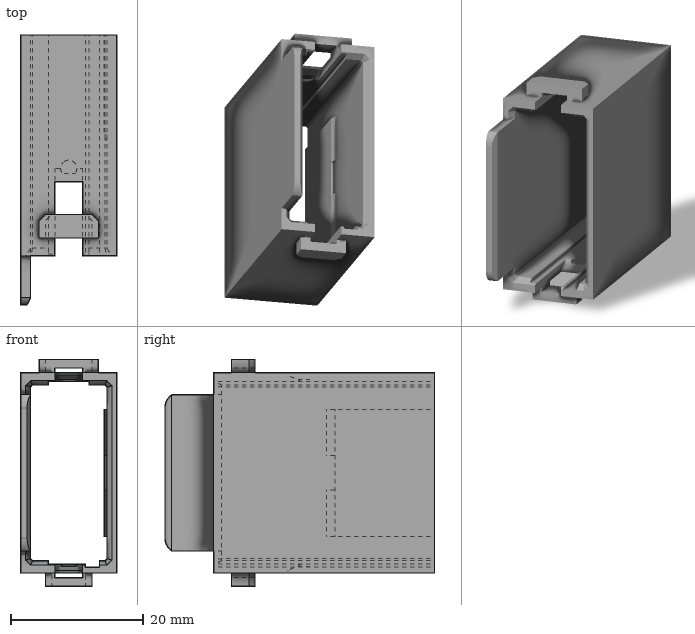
import cadquery as cq

width = 14.6
height = 30.4
total_length = 40.85
tab_length = 7.4
mouth_y = tab_length
center_x = width / 2

side_wall = 1.5
end_wall = 1.9
mouth_side_wall = 0.78
mouth_end_wall = 1.23
mouth_depth = 1.2
cavity_corner = 0.3
mouth_corner = 0.78

channel_left = 4.2
ceiling_channel_width = width - 2 * channel_left
floor_channel_width = 5.6
channel_wall = 1.4
deep_channel_left = channel_left + floor_channel_width
deep_channel_width = 2.12
deep_channel_wall = 0.95

rib_height = 19.25
rib_thickness = 0.4
rib_front_y = 24.5
rib_ramp = 1.23
rib_notch_height = 5.23

slot_width = 4.15
slot_back_y = 18.63
ramp_lip = 0.4
ramp_length = 2.05
dimple_diameter = 2.45
dimple_depth = 0.35
bridge_front_y = 10.1
bridge_back_y = 13.7
bridge_height = 2.0
bridge_gap = 0.65
top_bridge_width = 9.0
bottom_bridge_width = 7.1
bridge_chamfer = 1.0

tab_height = 23.7
tab_corner_height = 2.0
tab_corner_depth = 1.1
tab_tip_thickness = 1.0
tab_bevel_length = 1.02


def box(x, y, z, dx, dy, dz):
    """Box from its minimum corner and its sizes."""
    return cq.Workplane("XY").box(dx, dy, dz, centered=False).translate((x, y, z))


def chamfered_outline(side, end, corner):
    """Chamfered rectangle inset from the sleeve outline, as X-Z points."""
    left, right = side, width - side
    low, high = end, height - end
    return [
        (left + corner, low), (right - corner, low),
        (right, low + corner), (right, high - corner),
        (right - corner, high), (left + corner, high),
        (left, high - corner), (left, low + corner),
    ]


def mirror_to_floor(body):
    return body.mirror("XY", (0, 0, height / 2))


def make_cavity():
    inner = chamfered_outline(side_wall, end_wall, cavity_corner)
    mouth = chamfered_outline(mouth_side_wall, mouth_end_wall, mouth_corner)
    straight = cq.Workplane("XZ", origin=(0, mouth_y, 0)).polyline(inner).close()
    straight = straight.extrude(-(total_length - mouth_y))
    taper = cq.Workplane("XZ", origin=(0, mouth_y, 0)).polyline(mouth).close()
    taper = taper.workplane(offset=-mouth_depth).polyline(inner).close().loft(ruled=True)
    return straight.union(taper)


def make_channel(left, channel_width, wall):
    """Channel along the floor, open upward into the cavity."""
    length = total_length - mouth_y
    return box(left, mouth_y, wall, channel_width, length, end_wall - wall)


def make_slot():
    """Slot through the top wall, ending in a ramp with a round dimple."""
    slot_left = center_x - slot_width / 2
    slot = box(slot_left, mouth_y, height - end_wall, slot_width, slot_back_y - mouth_y, end_wall)
    ceiling = height - channel_wall
    ramp = (
        cq.Workplane("YZ", origin=(slot_left, 0, 0))
        .moveTo(slot_back_y, height - ramp_lip)
        .lineTo(slot_back_y + ramp_length, ceiling)
        .lineTo(slot_back_y, ceiling)
        .close()
        .extrude(slot_width)
    )
    dimple = (
        cq.Workplane("XY", origin=(center_x, slot_back_y + ramp_length, ceiling))
        .circle(dimple_diameter / 2)
        .extrude(dimple_depth)
    )
    return slot.union(ramp).union(dimple)


def make_bridge(bridge_width):
    """Raised bridge across the top slot, with chamfered rear corners."""
    length = bridge_back_y - bridge_front_y
    bridge = box(center_x - bridge_width / 2, bridge_front_y, height, bridge_width, length, bridge_height)
    bridge = bridge.edges("|Z and >Y").chamfer(bridge_chamfer)
    gap = box(center_x - slot_width / 2, bridge_front_y, height, slot_width, length, bridge_gap)
    return bridge.cut(gap)


def make_rib():
    """Rib with a ramped front end and a notch in the middle of the ramp."""
    wall_x = width - side_wall
    low = (height - rib_height) / 2
    rib = (
        cq.Workplane("XY", origin=(0, 0, low))
        .moveTo(wall_x, rib_front_y)
        .lineTo(wall_x - rib_thickness, rib_front_y + rib_ramp)
        .lineTo(wall_x - rib_thickness, total_length)
        .lineTo(wall_x, total_length)
        .close()
        .extrude(rib_height)
    )
    notch_low = (height - rib_notch_height) / 2
    notch_x = wall_x - rib_thickness
    notch = box(notch_x, rib_front_y, notch_low, rib_thickness, rib_ramp, rib_notch_height)
    return rib.cut(notch)


def make_tab():
    """Finger tab continuing the -X wall, with rounded corners and a bevelled tip."""
    low = (height - tab_height) / 2
    high = low + tab_height
    root_y = mouth_y + mouth_depth
    corner_radius = (tab_corner_depth**2 + tab_corner_height**2) / (2 * tab_corner_depth)
    tab = (
        cq.Workplane("YZ")
        .moveTo(root_y, low)
        .lineTo(tab_corner_depth, low)
        .radiusArc((0, low + tab_corner_height), corner_radius)
        .lineTo(0, high - tab_corner_height)
        .radiusArc((tab_corner_depth, high), corner_radius)
        .lineTo(root_y, high)
        .close()
        .extrude(side_wall)
    )
    bevel = (
        cq.Workplane("XY", origin=(0, 0, low))
        .moveTo(tab_tip_thickness, 0)
        .lineTo(side_wall, 0)
        .lineTo(side_wall, tab_bevel_length)
        .close()
        .extrude(tab_height)
    )
    return tab.cut(bevel)


sleeve = box(0, mouth_y, 0, width, total_length - mouth_y, height).cut(make_cavity())
sleeve = sleeve.cut(mirror_to_floor(make_channel(channel_left, ceiling_channel_width, channel_wall)))
sleeve = sleeve.cut(make_channel(channel_left, floor_channel_width, channel_wall))
sleeve = sleeve.cut(make_channel(deep_channel_left, deep_channel_width, deep_channel_wall))

slot_cut = make_slot()
sleeve = sleeve.cut(slot_cut).cut(mirror_to_floor(slot_cut))
sleeve = sleeve.union(make_bridge(top_bridge_width))
sleeve = sleeve.union(mirror_to_floor(make_bridge(bottom_bridge_width)))

result = sleeve.union(make_rib()).union(make_tab())